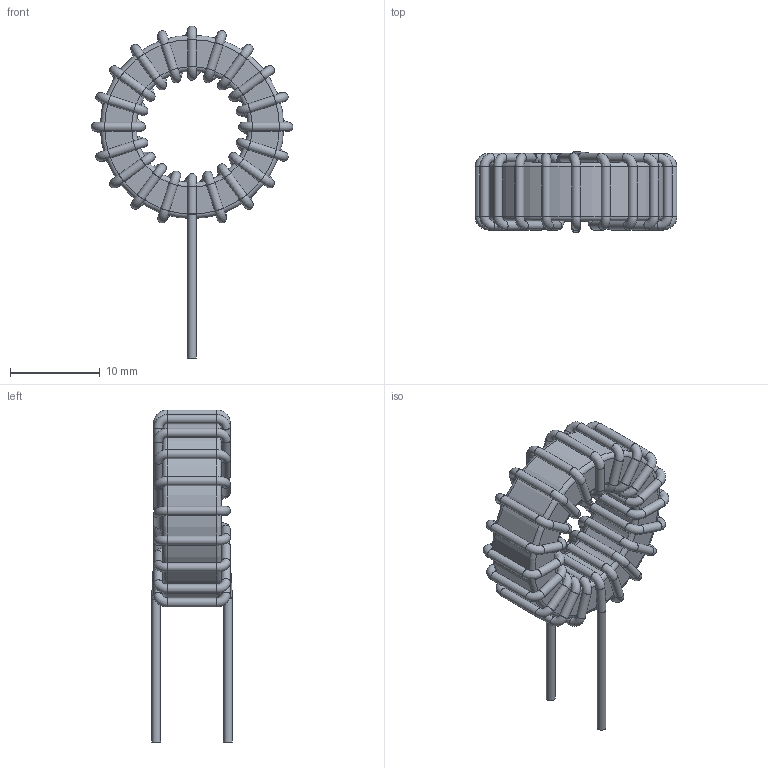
import cadquery as cq
import math

core_outer_radius = 10.2
core_inner_radius = 6.2
core_width = 6.5
core_fillet = 0.5

winding_clearance = 0.01
wire_diameter = 1.0
wire_radius = wire_diameter / 2
wire_standoff = wire_radius + winding_clearance
station_count = 20
pitch_angle = 360 / station_count
outer_run_radius = core_outer_radius + wire_standoff
inner_run_radius = core_inner_radius - wire_standoff
face_run_offset = core_width / 2 + wire_standoff
bend_radius = core_fillet + wire_standoff

lead_offset = 4.0
overall_height = 36.9
lead_shoulder_z = -(core_outer_radius - core_fillet)
lead_end_z = outer_run_radius + wire_radius - overall_height


def wire_corner(station, radius, y):
    """Corner of the wire route; station 0 is at the bottom, later stations go round past -X and the top."""
    angle = math.radians(station * pitch_angle)
    return cq.Vector(-radius * math.sin(angle), y, -radius * math.cos(angle))


def make_core():
    back_face = cq.Workplane("XZ", origin=(0, core_width / 2, 0))
    ring = back_face.circle(core_outer_radius).circle(core_inner_radius).extrude(core_width)
    return ring.edges().fillet(core_fillet)


def winding_corners():
    """Corners of the wire centreline from the front lead to the back lead."""
    corners = [
        cq.Vector(0, -lead_offset, lead_end_z),
        cq.Vector(0, -lead_offset, lead_shoulder_z),
    ]
    for station in range(station_count):
        corners.append(wire_corner(station, inner_run_radius, -face_run_offset))
        corners.append(wire_corner(station, inner_run_radius, face_run_offset))
        if station < station_count - 1:
            corners.append(wire_corner(station + 1, outer_run_radius, face_run_offset))
            corners.append(wire_corner(station + 1, outer_run_radius, -face_run_offset))
    corners.append(cq.Vector(0, lead_offset, lead_shoulder_z))
    corners.append(cq.Vector(0, lead_offset, lead_end_z))
    return corners


def rounded_route(corners):
    """Polyline through the corners, each corner replaced by a tangent arc of the bend radius."""
    edges = []
    start = corners[0]
    for before, corner, after in zip(corners, corners[1:], corners[2:]):
        to_before = (before - corner).normalized()
        to_after = (after - corner).normalized()
        half_angle = to_before.getAngle(to_after) / 2
        setback = bend_radius / math.tan(half_angle)
        arc_start = corner + to_before * setback
        arc_end = corner + to_after * setback
        bisector = (to_before + to_after).normalized()
        arc_middle = corner + bisector * (bend_radius / math.sin(half_angle) - bend_radius)
        edges.append(cq.Edge.makeLine(start, arc_start))
        edges.append(cq.Edge.makeThreePointArc(arc_start, arc_middle, arc_end))
        start = arc_end
    edges.append(cq.Edge.makeLine(start, corners[-1]))
    return cq.Wire.assembleEdges(edges)


def make_winding():
    route = rounded_route(winding_corners())
    lead_tip = cq.Workplane("XY", origin=(0, -lead_offset, lead_end_z)).circle(wire_radius)
    return lead_tip.sweep(route)


core = make_core()
winding = make_winding()

result = cq.Compound.makeCompound([core.val(), winding.val()])